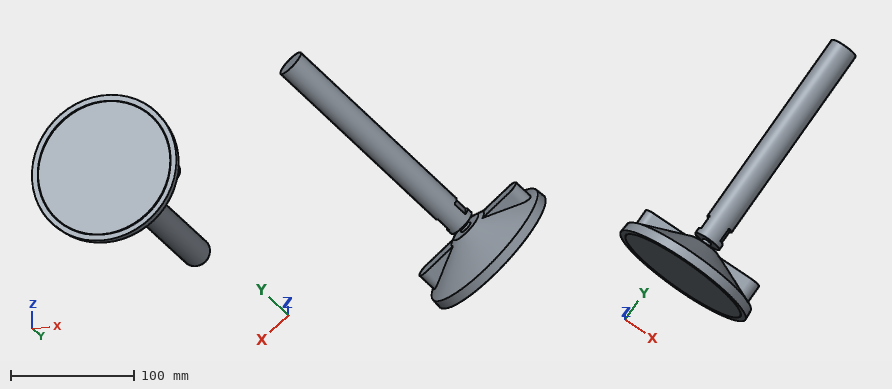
import cadquery as cq

total_length = 230.0

sole_diameter = 124.0
rim_top_diameter = 122.5
rim_height = 8.5
cone_top_diameter = 28.5
foot_height = 30.0

pad_diameter = 113.5
recess_diameter = 114.0
groove_depth = 1.2

lug_length = 111.5
lug_width = 16.3
lug_top = 27.8

ball_diameter = 12.5
ball_center = 27.0
neck_diameter = 7.8
rod_start = 34.7
rod_diameter = 24.0
flats_start = 39.8
flats_length = 12.5
across_flats = 18.9


def plane_at(y):
    """Sketch plane across the axis at height y, with its normal along +Y."""
    return cq.Workplane(cq.Plane(origin=(0, y, 0), xDir=(1, 0, 0), normal=(0, 1, 0)))


def make_turned_body():
    """Foot, neck and rod as one revolved profile of (radius, y)."""
    profile = [
        (0, 0),
        (sole_diameter / 2, 0),
        (rim_top_diameter / 2, rim_height),
        (cone_top_diameter / 2, foot_height),
        (neck_diameter / 2, foot_height),
        (neck_diameter / 2, rod_start),
        (rod_diameter / 2, rod_start),
        (rod_diameter / 2, total_length),
        (0, total_length),
    ]
    return cq.Workplane("XY").polyline(profile).close().revolve(360, (0, 0, 0), (0, 1, 0))


def make_ball():
    """Ball whose cap stands out of the cone top around the neck."""
    return cq.Workplane("XY").sphere(ball_diameter / 2).translate((0, ball_center, 0))


def make_lug_bar():
    """Bar with round ends, rising from inside the rim."""
    return plane_at(rim_height).slot2D(lug_length, lug_width).extrude(lug_top - rim_height)


def make_pad_groove():
    return plane_at(0).circle(recess_diameter / 2).circle(pad_diameter / 2).extrude(groove_depth)


def make_flat_cut(side):
    """Block that cuts one wrench flat; side is -1 or +1 along X."""
    block_depth = rod_diameter / 2
    center_x = side * (across_flats + block_depth) / 2
    return (
        plane_at(flats_start)
        .center(center_x, 0)
        .rect(block_depth, rod_diameter)
        .extrude(flats_length)
    )


result = make_turned_body().union(make_ball()).union(make_lug_bar()).cut(make_pad_groove())
for side in (-1, 1):
    result = result.cut(make_flat_cut(side))